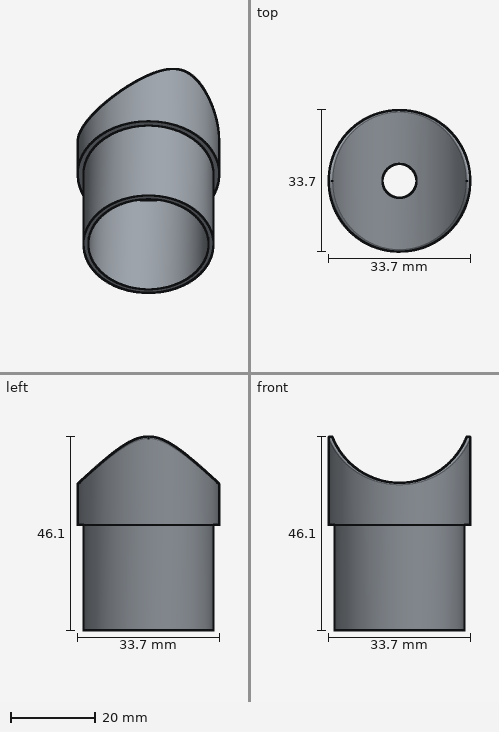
import cadquery as cq

plug_diameter = 30.9
head_diameter = 33.7
plug_length = 25.05
bore_diameter = 28.55
bore_depth = 31.8
saddle_radius = 17.1
saddle_axis_height = 52.15
rim_fillet = 0.5
screw_hole_diameter = 8.0

plug = cq.Workplane("XY").circle(plug_diameter / 2).extrude(plug_length)
head = (
    cq.Workplane("XY")
    .workplane(offset=plug_length)
    .circle(head_diameter / 2)
    .extrude(saddle_axis_height - plug_length)
)

saddle = (
    cq.Workplane("XZ")
    .center(0, saddle_axis_height)
    .circle(saddle_radius)
    .extrude(head_diameter, both=True)
)

half_space = cq.Workplane("XY").box(
    head_diameter, head_diameter, saddle_axis_height, centered=(True, False, False)
)
half_body = plug.union(head).cut(saddle).intersect(half_space)

rim_edges = [
    edge
    for edge in half_body.edges().vals()
    if edge.geomType() not in ("LINE", "CIRCLE")
]
half_body = half_body.newObject(rim_edges).fillet(rim_fillet)

bore = cq.Workplane("XY").circle(bore_diameter / 2).extrude(bore_depth)
screw_hole = cq.Workplane("XY").circle(screw_hole_diameter / 2).extrude(saddle_axis_height)
half_body = half_body.cut(bore).cut(screw_hole)

result = half_body.union(half_body.mirror("XZ"), clean=True)